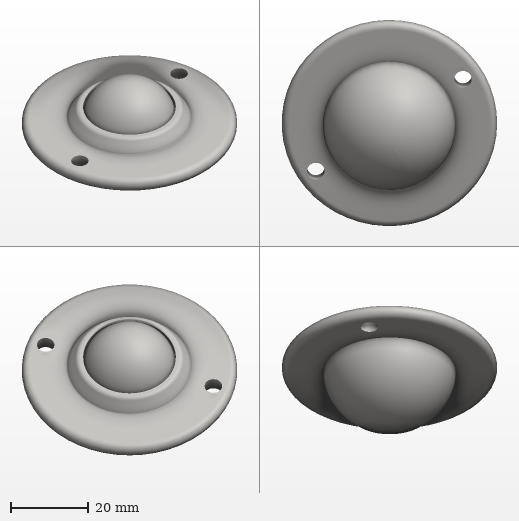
import cadquery as cq
import math

flange_radius = 27.9
flange_thickness = 3.75
hole_diameter = 4.5
hole_offset = 22.8

ball_radius = 12.4
ball_top = 14.6
ball_center = ball_top - ball_radius
cup_radius = 17.35
cup_depth = 15.45
cup_center = cup_radius - cup_depth

collar_top = 7.1
collar_opening_radius = 12.0
collar_base_radius = 16.1
collar_flat_radius = 12.8
collar_shoulder_radius = 13.95
collar_shoulder_height = 6.55

blend_outer_radius = 16.4
blend_height = 0.15


def make_flange():
    """Round plate with a fully rounded rim and two mounting holes on the Y axis."""
    rim_radius = flange_thickness / 2
    face_radius = flange_radius - rim_radius
    plate = (
        cq.Workplane("XZ")
        .lineTo(face_radius, 0)
        .tangentArcPoint((flange_radius, rim_radius), relative=False)
        .tangentArcPoint((face_radius, flange_thickness), relative=False)
        .lineTo(0, flange_thickness)
        .close()
        .revolve(360, (0, 0, 0), (0, 1, 0))
    )
    holes = (
        cq.Workplane("XY")
        .pushPoints([(0, -hole_offset), (0, hole_offset)])
        .circle(hole_diameter / 2)
        .extrude(flange_thickness)
    )
    return plate.cut(holes)


def make_cup():
    """Part of a sphere from its lowest point up to the flange underside."""
    rim_radius = math.sqrt(cup_radius**2 - cup_center**2)
    middle_angle = (math.asin(-cup_center / cup_radius) - math.pi / 2) / 2
    middle = (
        cup_radius * math.cos(middle_angle),
        cup_center + cup_radius * math.sin(middle_angle),
    )
    return (
        cq.Workplane("XZ")
        .lineTo(0, -cup_depth)
        .threePointArc(middle, (rim_radius, 0))
        .close()
        .revolve(360, (0, 0, 0), (0, 1, 0))
    )


def make_collar():
    """Cone with a rounded shoulder, a blended foot and a straight opening for the ball."""
    return (
        cq.Workplane("XZ")
        .moveTo(collar_opening_radius, 0)
        .lineTo(blend_outer_radius + blend_height, 0)
        .lineTo(blend_outer_radius + blend_height, flange_thickness)
        .lineTo(blend_outer_radius, flange_thickness)
        .tangentArcPoint(
            (collar_base_radius, flange_thickness + blend_height),
            relative=False,
        )
        .lineTo(collar_shoulder_radius, collar_shoulder_height)
        .tangentArcPoint((collar_flat_radius, collar_top), relative=False)
        .lineTo(collar_opening_radius, collar_top)
        .close()
        .revolve(360, (0, 0, 0), (0, 1, 0))
    )


ball = cq.Workplane("XY").sphere(ball_radius).translate((0, 0, ball_center))
result = make_flange().union(make_cup()).union(make_collar()).union(ball)